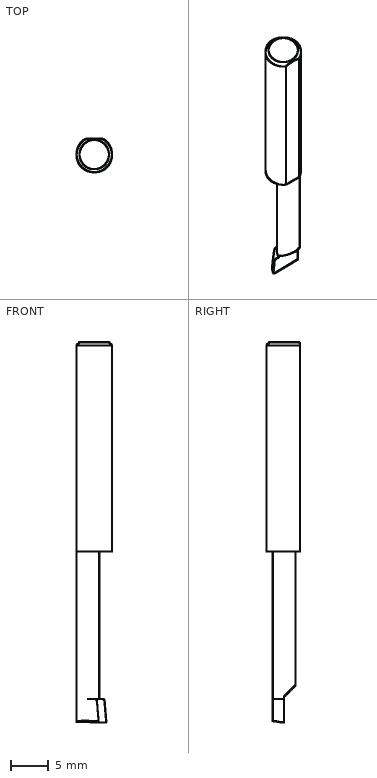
import cadquery as cq
import math

total_length = 50.79
shank_diameter = 4.76
shank_length = 27.95
shank_flat_y = 2.13
shank_chamfer = 0.42

neck_diameter = 3.07

rake_height = 3.5
rake_runout_angle = 45.0

tooth_height = 3.2
tooth_tip_x = 1.36
tooth_heel_x = 0.33
tooth_bevel = 0.46
tooth_relief_angle = 11.0
tooth_lean = 0.27
tooth_top_radius = 0.3
tooth_tip_radius = 0.2

end_slope_x = 2.0
end_slope_y = 7.0

shank_radius = shank_diameter / 2
neck_radius = neck_diameter / 2
neck_x = neck_radius - shank_radius
shank_bottom_z = total_length - shank_length
tip_x = tooth_tip_x + tooth_lean - tooth_tip_radius
margin = 1.0
clearance_size = 20.0


def make_shank():
    """Round shank with a chamfered top and a flat along its full length."""
    shank = (
        cq.Workplane("XY", origin=(0, 0, shank_bottom_z))
        .circle(shank_radius)
        .extrude(shank_length)
        .faces(">Z")
        .chamfer(shank_chamfer)
    )
    waste = (
        cq.Workplane("XY", origin=(0, shank_flat_y + shank_radius, shank_bottom_z))
        .rect(shank_diameter, shank_diameter)
        .extrude(shank_length)
    )
    return shank.cut(waste)


def make_neck():
    """Eccentric neck with its lower end cut back to the rake face."""
    neck = (
        cq.Workplane("XY", origin=(neck_x, 0, 0))
        .circle(neck_radius)
        .extrude(shank_bottom_z)
    )
    depth = neck_radius + margin
    runout_rise = depth * math.tan(math.radians(rake_runout_angle))
    clearance = (
        cq.Workplane("YZ", origin=(neck_x, 0, 0))
        .moveTo(0, -margin)
        .lineTo(0, rake_height)
        .lineTo(depth, rake_height + runout_rise)
        .lineTo(depth, -margin)
        .close()
        .extrude(neck_radius + margin, both=True)
    )
    return neck.cut(clearance)


def tooth_profile(z, shift):
    """Closed XY outline of the tooth at height z, its working side moved by shift."""
    heel = (tooth_heel_x + shift, -neck_radius)
    bevel_end = (heel[0] + tooth_bevel, heel[1] + tooth_bevel)
    tip = (tooth_tip_x + shift, 0)
    chord = math.hypot(tip[0] - bevel_end[0], tip[1] - bevel_end[1])
    chord_angle = math.atan2(tip[1] - bevel_end[1], tip[0] - bevel_end[0])
    tip_angle = math.radians(90 - tooth_relief_angle)
    sagitta = chord / 2 * math.tan((tip_angle - chord_angle) / 2)
    relief_mid = (
        (bevel_end[0] + tip[0]) / 2 + sagitta * math.sin(chord_angle),
        (bevel_end[1] + tip[1]) / 2 - sagitta * math.cos(chord_angle),
    )
    return (
        cq.Workplane("XY", origin=(0, 0, z))
        .moveTo(neck_x, 0)
        .lineTo(neck_x, -neck_radius)
        .lineTo(*heel)
        .lineTo(*bevel_end)
        .threePointArc(relief_mid, tip)
        .close()
        .wire()
        .val()
    )


def make_tooth():
    """Leaning tooth on the +X side of the neck end."""
    top = tooth_profile(tooth_height, 0)
    bottom = tooth_profile(0, tooth_lean)
    tooth = cq.Workplane(cq.Solid.makeLoft([bottom, top], True))
    tooth = tooth.cut(make_end_clearance())
    edge_y = -neck_radius / 3
    top_edge = cq.selectors.NearestToPointSelector((tooth_tip_x, edge_y, tooth_height))
    tooth = tooth.edges(top_edge).fillet(tooth_top_radius)
    tip_edge = cq.selectors.NearestToPointSelector((tooth_tip_x + tooth_lean, edge_y, 0))
    return tooth.edges(tip_edge).fillet(tooth_tip_radius)


def make_end_clearance():
    """Body below the sloped end face, which touches Z = 0 at the tooth tip."""
    return (
        cq.Workplane("XY")
        .rect(clearance_size, clearance_size)
        .extrude(-clearance_size)
        .rotate((0, 0, 0), (1, 0, 0), -end_slope_y)
        .rotate((0, 0, 0), (0, 1, 0), end_slope_x)
        .translate((tip_x, 0, 0))
    )


lower_end = make_neck().cut(make_end_clearance()).union(make_tooth())
result = make_shank().union(lower_end)